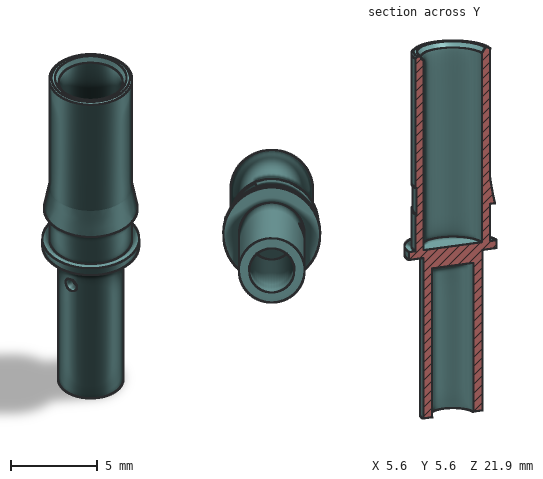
import cadquery as cq

total_height = 21.85
flange_bottom = 9.65
flange_thickness = 0.5
clip_bottom = 12.36
clip_height = 1.64
groove_height = 1.57

barrel_diameter = 3.8
flange_diameter = 5.6
sleeve_diameter = 4.78
clip_flare_diameter = 5.42
groove_depth = 0.07

clip_gap_start = 120.0
clip_gap_angle = 60.0

socket_diameter = 3.7
mouth_diameter = 4.13
mouth_depth = 0.3
rim_bevel_width = 0.13
rim_bevel_height = 0.1

barrel_bore_diameter = 2.6
barrel_bore_depth = 8.95
inspection_diameter = 0.8
inspection_height = 7.95

flange_top = flange_bottom + flange_thickness
socket_floor = flange_top


def cylinder(diameter, bottom, top):
    """Solid cylinder about the Z axis between two heights."""
    return cq.Workplane("XY").workplane(offset=bottom).circle(diameter / 2).extrude(top - bottom)


def make_sleeve():
    """Upper sleeve with a shallow groove for the clip and a bevelled outer rim."""
    radius = sleeve_diameter / 2
    groove_radius = radius - groove_depth
    groove_top = clip_bottom + groove_height
    profile = [
        (0, flange_bottom),
        (radius, flange_bottom),
        (radius, clip_bottom),
        (groove_radius, clip_bottom),
        (groove_radius, groove_top),
        (radius, groove_top),
        (radius, total_height - rim_bevel_height),
        (radius - rim_bevel_width, total_height),
        (0, total_height),
    ]
    return cq.Workplane("XZ").polyline(profile).close().revolve(360, (0, 0), (0, 1))


def make_clip():
    """Flared split ring that is narrow at the top and open on one side."""
    inner_radius = sleeve_diameter / 2 - groove_depth
    clip_top = clip_bottom + clip_height
    profile = [
        (inner_radius, clip_bottom),
        (clip_flare_diameter / 2, clip_bottom),
        (sleeve_diameter / 2, clip_top),
        (inner_radius, clip_top),
    ]
    ring = cq.Workplane("XZ").polyline(profile).close().revolve(360 - clip_gap_angle, (0, 0), (0, 1))
    return ring.rotate((0, 0, 0), (0, 0, 1), clip_gap_start + clip_gap_angle)


def make_socket_cavity():
    """Blind socket bore with a conical lead-in at its mouth."""
    radius = socket_diameter / 2
    profile = [
        (0, socket_floor),
        (radius, socket_floor),
        (radius, total_height - mouth_depth),
        (mouth_diameter / 2, total_height),
        (0, total_height),
    ]
    return cq.Workplane("XZ").polyline(profile).close().revolve(360, (0, 0), (0, 1))


def make_inspection_hole():
    """Radial hole through the -Y wall of the barrel only."""
    return (
        cq.Workplane("XZ")
        .center(0, inspection_height)
        .circle(inspection_diameter / 2)
        .extrude(barrel_diameter)
    )


barrel = cylinder(barrel_diameter, 0, flange_bottom)
flange = cylinder(flange_diameter, flange_bottom, flange_top)
barrel_bore = cylinder(barrel_bore_diameter, 0, barrel_bore_depth)

body = barrel.union(flange).union(make_sleeve()).union(make_clip())
result = body.cut(make_socket_cavity()).cut(barrel_bore).cut(make_inspection_hole())